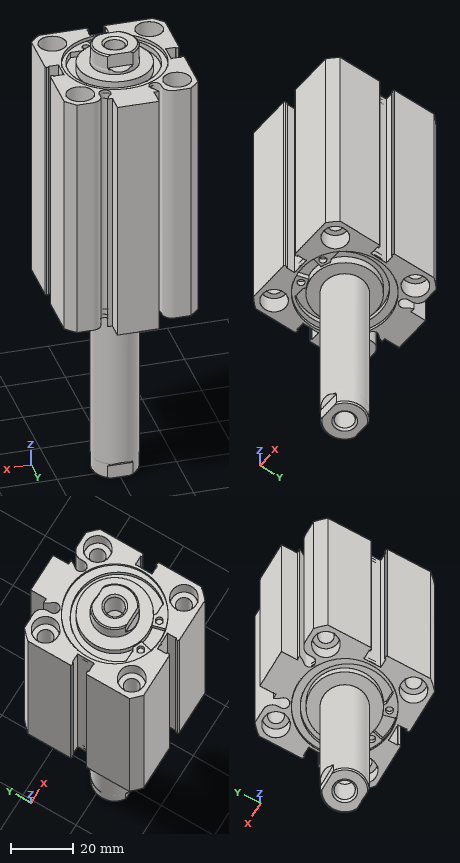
import cadquery as cq
import math


body_width = 45.0
half_width = body_width / 2
body_length = 86.0
corner_radius = 29.5
corner_reach = math.sqrt(corner_radius**2 - half_width**2)
mid_height = body_length / 2

rail_top = 27.5
rail_half_width = 7.0
lip_half_width = 8.6
lip_root_half_width = 7.8
lip_top = 21.6
lip_bottom = 20.1
groove_radius = 1.9
groove_x = 8.4
groove_y = 17.8
shoulder_radius = 3.4
groove_wall_x = groove_x + groove_radius
shoulder_y = half_width - shoulder_radius
shoulder_x = groove_wall_x + shoulder_radius

slot_depth = 4.5
slot_width = 6.2
slot_mouth_width = 5.3
slot_lip = 1.2
slot_mouth_chamfer = 0.4

mount_pitch = 32.5
mount_diameter = 5.4
mount_seat_diameter = 9.2
mount_seat_depth = 7.0

bore_radius = 17.2
bore_depth = 12.0
ring_seat_radius = 17.7
ring_depth = 1.2
ring_thickness = 2.0

boss_radius = 12.5

ring_inner_radius = 15.4
ring_inner_center_y = -1.2
lug_edge_y = -11.3
ring_gap_half_angle = math.radians(15)
lug_end_radius = 2.6
lug_hole_diameter = 2.5
lug_hole_x = 5.8
lug_hole_y = -13.3

rod_diameter = 16.0
rod_radius = rod_diameter / 2
rod_top_reach = 7.0
rod_bottom_reach = 67.0
rod_length = rod_top_reach + body_length + rod_bottom_reach
rod_middle = (body_length + rod_top_reach - rod_bottom_reach) / 2
end_diameter = 15.7
shaft_chamfer_height = 0.5
end_length = 5.4
end_chamfer = 0.5
flat_half_width = 6.6
flat_length = 4.8
tap_diameter = 6.8
tap_mouth_diameter = 8.3
tap_depth = 13.0
drill_point_angle = math.radians(118)


def flipped(shape, height):
    """Copy of a shape turned end for end about a horizontal plane."""
    return shape.mirror("XY", (0, 0, height))


def housing_outline():
    """Extruded square with turned corners, rounded shoulders and the sensor rail."""
    bend = groove_radius * math.sqrt(0.5)
    round_bend = shoulder_radius * math.sqrt(0.5)
    corner_mid = corner_radius * math.sqrt(0.5)
    right_half = (
        cq.Workplane("XY")
        .moveTo(0, -half_width)
        .lineTo(corner_reach, -half_width)
        .threePointArc((corner_mid, -corner_mid), (half_width, -corner_reach))
        .lineTo(half_width, corner_reach)
        .threePointArc((corner_mid, corner_mid), (corner_reach, half_width))
        .lineTo(shoulder_x, half_width)
        .threePointArc(
            (shoulder_x - round_bend, shoulder_y + round_bend),
            (groove_wall_x, shoulder_y),
        )
        .lineTo(groove_wall_x, groove_y)
        .threePointArc((groove_x, groove_y - groove_radius), (groove_x - bend, groove_y + bend))
        .lineTo(lip_root_half_width, lip_bottom)
        .lineTo(lip_half_width, lip_top)
        .lineTo(rail_half_width, lip_top)
        .lineTo(rail_half_width, rail_top)
        .lineTo(0, rail_top)
        .close()
        .extrude(body_length)
    )
    return right_half.union(right_half.mirror("YZ"))


def t_slot():
    """Cutter for the slot on the -Y face, with its mouth edges chamfered."""
    floor_y = slot_depth - half_width
    lip_y = slot_lip - half_width
    pocket = (
        cq.Workplane("XY")
        .center(0, (floor_y + lip_y) / 2)
        .rect(slot_width, slot_depth - slot_lip)
        .extrude(body_length)
    )
    mouth = (
        cq.Workplane("XY")
        .center(0, lip_y - slot_lip / 2)
        .rect(slot_mouth_width, slot_lip)
        .extrude(body_length)
    )
    flared_half_width = slot_mouth_width / 2 + slot_mouth_chamfer
    flare = (
        cq.Workplane("XY")
        .polyline([
            (-flared_half_width, -half_width),
            (flared_half_width, -half_width),
            (0, flared_half_width - half_width),
        ])
        .close()
        .extrude(body_length)
    )
    return pocket.union(mouth).union(flare)


def mounting_holes():
    """Cutter for the four through holes with a seat at each end."""
    def drilled(diameter, bottom, height):
        return (
            cq.Workplane("XY", origin=(0, 0, bottom))
            .rect(mount_pitch, mount_pitch, forConstruction=True)
            .vertices()
            .circle(diameter / 2)
            .extrude(height)
        )
    holes = drilled(mount_diameter, 0, body_length)
    for bottom in (0, body_length - mount_seat_depth):
        holes = holes.union(drilled(mount_seat_diameter, bottom, mount_seat_depth))
    return holes


def end_bore():
    """Cutter for the upper collar bore and its snap ring seat."""
    bore = (
        cq.Workplane("XY", origin=(0, 0, body_length - bore_depth))
        .circle(bore_radius)
        .extrude(bore_depth)
    )
    seat = (
        cq.Workplane("XY", origin=(0, 0, body_length - ring_depth - ring_thickness))
        .circle(ring_seat_radius)
        .extrude(ring_thickness)
    )
    return bore.union(seat)


def make_housing():
    housing = housing_outline()
    for angle in (-90, 0, 90):
        housing = housing.cut(t_slot().rotate((0, 0, 0), (0, 0, 1), angle))
    housing = housing.cut(mounting_holes())
    upper_bore = end_bore()
    housing = housing.cut(upper_bore).cut(flipped(upper_bore, mid_height))
    rod_hole = cq.Workplane("XY").circle(rod_radius).extrude(body_length)
    return housing.cut(rod_hole)


def make_collar():
    """Upper collar: flange under the snap ring, boss flush with the housing end."""
    flange_height = bore_depth - ring_depth - ring_thickness
    return (
        cq.Workplane("XY", origin=(0, 0, body_length - bore_depth))
        .circle(bore_radius)
        .extrude(flange_height)
        .faces(">Z")
        .workplane()
        .circle(boss_radius)
        .extrude(ring_depth + ring_thickness)
        .faces(">Z")
        .workplane()
        .hole(rod_diameter)
    )


def make_snap_ring():
    """Upper snap ring, open toward -Y, with two eyed lugs that reach the boss."""
    base = cq.Workplane("XY", origin=(0, 0, body_length - ring_depth - ring_thickness))
    eye_places = base.pushPoints([(-lug_hole_x, lug_hole_y), (lug_hole_x, lug_hole_y)])
    lug_ends = eye_places.circle(lug_end_radius).extrude(ring_thickness)
    eyes = eye_places.circle(lug_hole_diameter / 2).extrude(ring_thickness)
    below_lug_edge = (
        base.center(0, lug_edge_y - ring_seat_radius)
        .rect(2 * ring_seat_radius, 2 * ring_seat_radius)
        .extrude(ring_thickness)
    )
    window = (
        base.center(0, ring_inner_center_y)
        .circle(ring_inner_radius)
        .extrude(ring_thickness)
        .cut(below_lug_edge)
        .cut(lug_ends)
    )
    boss_clearance = base.circle(boss_radius).extrude(ring_thickness)
    gap_reach = 2 * ring_seat_radius
    gap_half_width = gap_reach * math.tan(ring_gap_half_angle)
    gap = (
        base.polyline([(0, 0), (-gap_half_width, -gap_reach), (gap_half_width, -gap_reach)])
        .close()
        .extrude(ring_thickness)
    )
    disc = base.circle(ring_seat_radius).extrude(ring_thickness)
    return disc.cut(window).cut(boss_clearance).cut(gap).cut(eyes)


def rod_end_flat():
    """Cutter for the -Y wrench flat at the upper rod end, with a 45 degree run-out."""
    rod_top = body_length + rod_top_reach
    flat_bottom = rod_top - flat_length
    runout = rod_diameter - flat_half_width
    return (
        cq.Workplane("YZ")
        .polyline([
            (-flat_half_width, rod_top),
            (-flat_half_width, flat_bottom),
            (-rod_diameter, flat_bottom - runout),
            (-rod_diameter, rod_top),
        ])
        .close()
        .extrude(rod_radius, both=True)
    )


def tapped_hole():
    """Cutter for the blind hole in the upper rod end, with a 45 degree countersink."""
    rod_top = body_length + rod_top_reach
    mouth_radius = tap_mouth_diameter / 2
    tap_radius = tap_diameter / 2
    drill_point = tap_radius / math.tan(drill_point_angle / 2)
    return (
        cq.Workplane("XZ")
        .moveTo(0, rod_top)
        .lineTo(mouth_radius, rod_top)
        .lineTo(tap_radius, rod_top - (mouth_radius - tap_radius))
        .lineTo(tap_radius, rod_top - tap_depth)
        .lineTo(0, rod_top - tap_depth - drill_point)
        .close()
        .revolve(360, (0, 0, 0), (0, 1, 0))
    )


def make_rod():
    shaft_length = rod_length - 2 * end_length
    shaft_chamfer_width = (rod_diameter - end_diameter) / 2
    rod = (
        cq.Workplane("XY", origin=(0, 0, rod_middle))
        .circle(end_diameter / 2)
        .extrude(rod_length / 2, both=True)
        .faces("<Z or >Z")
        .chamfer(end_chamfer)
    )
    shaft = (
        cq.Workplane("XY", origin=(0, 0, rod_middle))
        .circle(rod_radius)
        .extrude(shaft_length / 2, both=True)
        .faces("<Z or >Z")
        .chamfer(shaft_chamfer_height, shaft_chamfer_width)
    )
    rod = rod.union(shaft)
    flat = rod_end_flat()
    end_cuts = flat.union(flat.mirror("XZ")).union(tapped_hole())
    return rod.cut(end_cuts).cut(flipped(end_cuts, rod_middle))


housing = make_housing()
upper_collar = make_collar()
lower_collar = flipped(upper_collar, mid_height)
upper_snap_ring = make_snap_ring()
lower_snap_ring = flipped(upper_snap_ring, mid_height)
rod = make_rod()

result = cq.Compound.makeCompound([
    housing.val(),
    upper_collar.val(),
    lower_collar.val(),
    upper_snap_ring.val(),
    lower_snap_ring.val(),
    rod.val(),
])